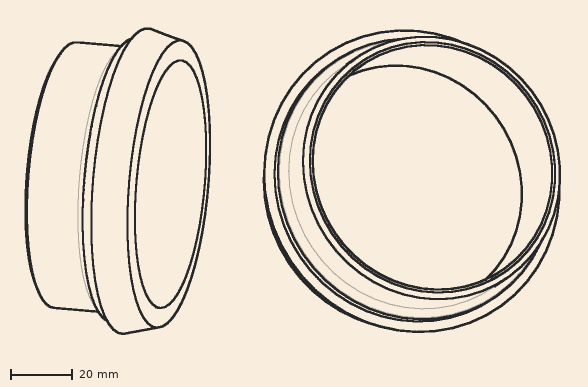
import cadquery as cq
import math

bore_diameter = 81.0
neck_diameter = 87.0
shoulder_diameter = 93.0
flange_diameter = 100.0

shoulder_start = 21.0
flange_start = 25.0
flange_rim_end = 36.4
total_length = 37.0

chamfer_length = 1.2
chamfer_depth = 2.0
fillet_radius = 2.5
flange_rim_end_radius = 47.0

bore_radius = bore_diameter / 2
neck_radius = neck_diameter / 2
shoulder_radius = shoulder_diameter / 2
flange_radius = flange_diameter / 2

fillet_start = shoulder_start - fillet_radius
fillet_end_radius = neck_radius + fillet_radius
fillet_mid_offset = fillet_radius * math.sqrt(0.5)
fillet_mid = (fillet_start + fillet_mid_offset, fillet_end_radius - fillet_mid_offset)

half_section = (
    cq.Workplane("XY")
    .moveTo(0, bore_radius)
    .lineTo(0, neck_radius - chamfer_depth)
    .lineTo(chamfer_length, neck_radius)
    .lineTo(fillet_start, neck_radius)
    .threePointArc(fillet_mid, (shoulder_start, fillet_end_radius))
    .lineTo(shoulder_start, shoulder_radius)
    .lineTo(flange_start, shoulder_radius)
    .lineTo(flange_start, flange_radius)
    .lineTo(flange_rim_end, flange_rim_end_radius)
    .lineTo(total_length, bore_radius)
    .close()
)

result = half_section.revolve(360, (0, 0, 0), (1, 0, 0))